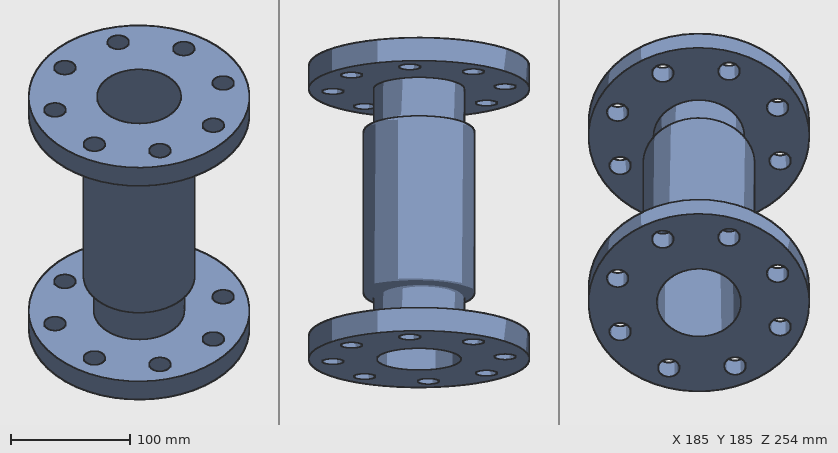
import cadquery as cq

length = 254.0
flange_diameter = 185.0
flange_thickness = 20.0
pipe_diameter = 76.2
bore_diameter = 70.4

sleeve_diameter = 93.5
sleeve_length = 144.0
edge_radius = 3.0

bolt_count = 8
bolt_circle_diameter = 145.0
bolt_hole_diameter = 18.0


def make_body():
    """Solid of revolution: two flanges, the pipe and the sleeve."""
    end = length / 2
    flange_radius = flange_diameter / 2
    pipe_radius = pipe_diameter / 2
    sleeve_radius = sleeve_diameter / 2
    sleeve_end = sleeve_length / 2
    flange_face = end - flange_thickness
    return (
        cq.Workplane("XZ")
        .moveTo(0, -end)
        .lineTo(flange_radius, -end)
        .lineTo(flange_radius, -flange_face)
        .lineTo(pipe_radius, -flange_face)
        .lineTo(pipe_radius, -sleeve_end - edge_radius)
        .radiusArc((pipe_radius + edge_radius, -sleeve_end), edge_radius)
        .lineTo(sleeve_radius - edge_radius, -sleeve_end)
        .radiusArc((sleeve_radius, -sleeve_end + edge_radius), -edge_radius)
        .lineTo(sleeve_radius, sleeve_end - edge_radius)
        .radiusArc((sleeve_radius - edge_radius, sleeve_end), -edge_radius)
        .lineTo(pipe_radius + edge_radius, sleeve_end)
        .radiusArc((pipe_radius, sleeve_end + edge_radius), edge_radius)
        .lineTo(pipe_radius, flange_face)
        .lineTo(flange_radius, flange_face)
        .lineTo(flange_radius, end)
        .lineTo(0, end)
        .close()
        .revolve(360, (0, 0, 0), (0, 1, 0))
    )


def make_bore():
    """Cutter for the bore through the whole length."""
    return cq.Workplane("XY").circle(bore_diameter / 2).extrude(length / 2, both=True)


def make_bolt_holes():
    """Cutters for the bolt holes of both flanges."""
    half_pitch = 180 / bolt_count
    return (
        cq.Workplane("XY")
        .polarArray(bolt_circle_diameter / 2, half_pitch, 360, bolt_count)
        .circle(bolt_hole_diameter / 2)
        .extrude(length / 2, both=True)
    )


result = make_body().cut(make_bore()).cut(make_bolt_holes())